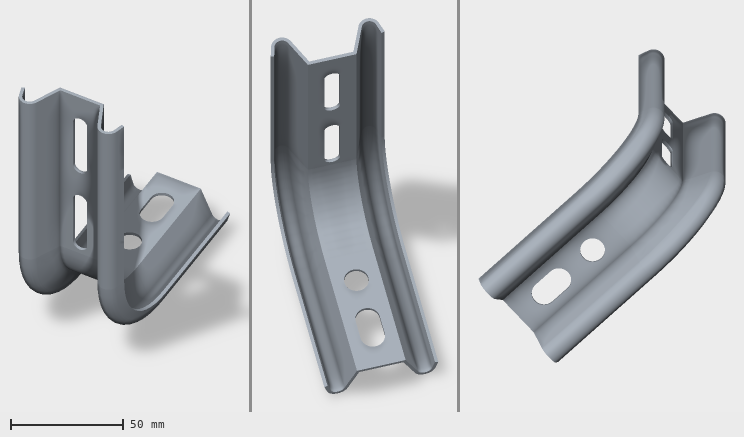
import cadquery as cq
import math

width = 52.5
length = 105.5
height = 141.8

thickness = 1.5
section_depth = 16.6
bead_radius = 5.0
flank_angle = math.radians(24)
lip_angle = math.radians(16)
lip_length = 5.0

bend_radius = 46.4

upright_slot_length = 33.2
upright_slot_width = 7.2
upright_slot_heights = (65.2, 112.3)

foot_opening_width = 11.0
foot_slot_length = 20.0
foot_slot_position = 85.4
foot_hole_position = 60.4

lip_reach = bead_radius * math.cos(lip_angle) + lip_length * math.sin(lip_angle)
bead_x = width / 2 - lip_reach


def surface_points(radius, web_depth):
    """Points of one sheet surface on the +X side, from the web corner to the lip tip.

    Depth is measured from the outermost surface towards the inside of the bend.
    """
    flank_start_x = bead_x - radius * math.cos(flank_angle)
    flank_start_depth = bead_radius - radius * math.sin(flank_angle)
    flank_run = (web_depth - flank_start_depth) * math.tan(flank_angle)
    lip_start_x = bead_x + radius * math.cos(lip_angle)
    lip_start_depth = bead_radius - radius * math.sin(lip_angle)
    return {
        "web": (flank_start_x - flank_run, web_depth),
        "flank": (flank_start_x, flank_start_depth),
        "bead": (bead_x, bead_radius - radius),
        "lip": (lip_start_x, lip_start_depth),
        "tip": (
            lip_start_x + lip_length * math.sin(lip_angle),
            lip_start_depth + lip_length * math.cos(lip_angle),
        ),
    }


def mirrored(point):
    return (-point[0], point[1])


def sheet_section(plane):
    """Closed outline of the bent sheet on a plane whose local y is section depth."""
    outer = surface_points(bead_radius, section_depth - thickness)
    inner = surface_points(bead_radius - thickness, section_depth)
    return (
        cq.Workplane(plane)
        .moveTo(*mirrored(outer["tip"]))
        .lineTo(*mirrored(outer["lip"]))
        .threePointArc(mirrored(outer["bead"]), mirrored(outer["flank"]))
        .lineTo(*mirrored(outer["web"]))
        .lineTo(*outer["web"])
        .lineTo(*outer["flank"])
        .threePointArc(outer["bead"], outer["lip"])
        .lineTo(*outer["tip"])
        .lineTo(*inner["tip"])
        .lineTo(*inner["lip"])
        .threePointArc(inner["bead"], inner["flank"])
        .lineTo(*inner["web"])
        .lineTo(*mirrored(inner["web"]))
        .lineTo(*mirrored(inner["flank"]))
        .threePointArc(mirrored(inner["bead"]), mirrored(inner["lip"]))
        .lineTo(*mirrored(inner["tip"]))
        .close()
    )


bend_start = cq.Plane(origin=(0, 0, bend_radius), xDir=(1, 0, 0), normal=(0, 0, 1))
foot_end = cq.Plane(origin=(0, length, 0), xDir=(1, 0, 0), normal=(0, -1, 0))

upright = sheet_section(bend_start).extrude(height - bend_radius)
foot = sheet_section(foot_end).extrude(length - bend_radius)
bend = sheet_section(bend_start).revolve(90, (0, bend_radius), (1, bend_radius))
bracket = upright.union(bend).union(foot)


def upright_slots():
    centres = [(0, slot_height) for slot_height in upright_slot_heights]
    return (
        cq.Workplane("XZ")
        .pushPoints(centres)
        .slot2D(upright_slot_length, upright_slot_width, 90)
        .extrude(-section_depth)
    )


def foot_openings():
    slot = (
        cq.Workplane("XY")
        .center(0, foot_slot_position)
        .slot2D(foot_slot_length, foot_opening_width, 90)
        .extrude(section_depth)
    )
    hole = (
        cq.Workplane("XY")
        .center(0, foot_hole_position)
        .circle(foot_opening_width / 2)
        .extrude(section_depth)
    )
    return slot.union(hole)


result = bracket.cut(upright_slots()).cut(foot_openings())